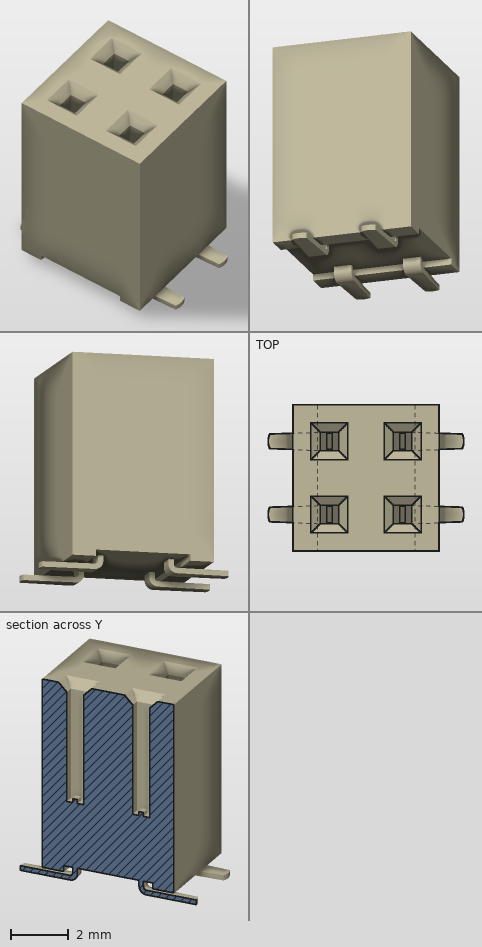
import cadquery as cq

height = 7.45
body_side = 5.08
pitch = 2.54
ledge_z = 0.275
channel_z = 0.5
channel_width = 3.4

mouth_side = 1.28
hole_side = 0.64
mouth_taper = 45.0
mouth_depth = (mouth_side - hole_side) / 2
hole_floor_z = 2.98

lead_span = 6.8
lead_thickness = 0.19
lead_width = 0.64
tip_width = 0.515
tip_bulge = 0.06
bend_inner_radius = 0.11
blade_width = 0.565
blade_rise = 0.15

half_pitch = pitch / 2
bend_outer_radius = bend_inner_radius + lead_thickness
shank_inner_x = half_pitch - lead_thickness / 2
shank_outer_x = half_pitch + lead_thickness / 2
bend_end_x = shank_inner_x + bend_outer_radius
tip_x = lead_span / 2
socket_centres = [(x, y) for x in (-half_pitch, half_pitch) for y in (-half_pitch, half_pitch)]


def make_housing():
    """Square block with a channel along Y across its underside."""
    block = cq.Workplane("XY").workplane(offset=ledge_z).rect(body_side, body_side).extrude(height - ledge_z)
    channel = (
        cq.Workplane("XY").workplane(offset=ledge_z)
        .rect(channel_width, body_side).extrude(channel_z - ledge_z)
    )
    return block.cut(channel)


def make_sockets():
    """Tapered mouths and the straight holes below them, as solids to remove."""
    mouths = (
        cq.Workplane("XY").workplane(offset=height).pushPoints(socket_centres)
        .rect(mouth_side, mouth_side).extrude(-mouth_depth, taper=mouth_taper)
    )
    holes = (
        cq.Workplane("XY").workplane(offset=hole_floor_z).pushPoints(socket_centres)
        .rect(hole_side, hole_side).extrude(height - mouth_depth - hole_floor_z)
    )
    return mouths.union(holes)


def make_blades():
    """Contact ends rising from the floors of the sockets."""
    return (
        cq.Workplane("XY").workplane(offset=hole_floor_z).pushPoints(socket_centres)
        .rect(lead_thickness, blade_width).extrude(blade_rise)
    )


def make_lead():
    """Bent lead on the +X side, centred on Y = 0, ending at the channel roof."""
    shank = (
        cq.Workplane("XZ")
        .moveTo(shank_inner_x, channel_z)
        .lineTo(shank_inner_x, bend_outer_radius)
        .radiusArc((bend_end_x, 0), -bend_outer_radius)
        .lineTo(bend_end_x, lead_thickness)
        .radiusArc((shank_outer_x, bend_outer_radius), bend_inner_radius)
        .lineTo(shank_outer_x, channel_z)
        .close().extrude(lead_width / 2, both=True)
    )
    foot = (
        cq.Workplane("XY")
        .moveTo(bend_end_x, -lead_width / 2)
        .lineTo(tip_x - tip_bulge, -tip_width / 2)
        .threePointArc((tip_x, 0), (tip_x - tip_bulge, tip_width / 2))
        .lineTo(bend_end_x, lead_width / 2)
        .close().extrude(lead_thickness)
    )
    return shank.union(foot)


result = make_housing().cut(make_sockets()).union(make_blades())
lead = make_lead()
for y in (-half_pitch, half_pitch):
    right_lead = lead.translate((0, y, 0))
    result = result.union(right_lead).union(right_lead.mirror("YZ"))